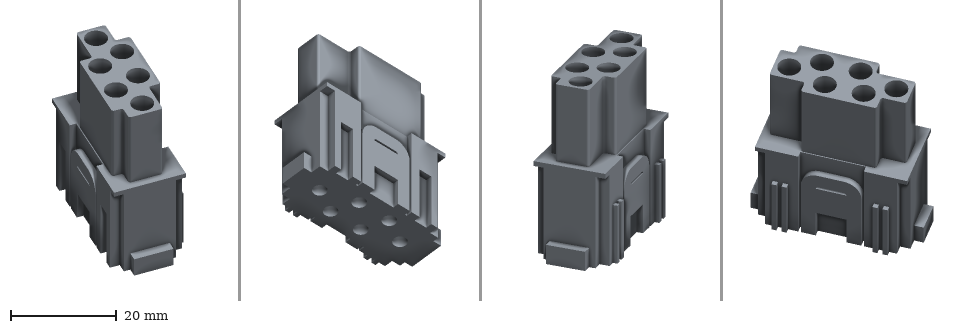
import cadquery as cq

total_length = 34.0
total_width = 15.7
total_height = 36.0

body_height = 19.98
block_height = total_height - body_height

tab_depth = 1.9
rib_depth = 0.97

body_length = total_length - 2 * tab_depth
body_width = total_width - rib_depth
corner_notch = 2.0
flange_thickness = 1.0

recess_length = 13.0
recess_depth = 1.35
latch_length = 12.0
latch_height = 16.02
latch_radius = 3.5
window_size = 6.05
slit_height = 0.5
slit_bottom = 12.5
slit_corner = 0.35

key_offset = 10.0
key_height = 12.02
slot_length = 3.0
slot_depth = 1.4
rib_length = 1.0
rib_spacing = 2.0

tab_height = 4.0
left_tab_width = 6.0
right_tab_width = 8.05

block_half_length = 13.5
block_half_width = 5.85
front_step_left_x = -5.5
front_step_right_x = 10.5
back_step_left_x = -8.5
back_step_right_x = 6.48
left_arm_front_y = -3.15
left_arm_back_y = 2.85
right_arm_front_y = -3.65
right_arm_back_y = 3.3
block_outline = [
    (-block_half_length, left_arm_front_y),
    (front_step_left_x, left_arm_front_y),
    (front_step_left_x, -block_half_width),
    (front_step_right_x, -block_half_width),
    (front_step_right_x, right_arm_front_y),
    (block_half_length, right_arm_front_y),
    (block_half_length, right_arm_back_y),
    (back_step_right_x, right_arm_back_y),
    (back_step_right_x, block_half_width),
    (back_step_left_x, block_half_width),
    (back_step_left_x, left_arm_back_y),
    (-block_half_length, left_arm_back_y),
]
block_edge_radius = 0.5
bore_centres = [
    (-10.5, -0.3),
    (-5.0, 2.75),
    (2.7, 2.75),
    (-2.65, -2.75),
    (5.0, -2.75),
    (10.5, 0.32),
]
bore_diameter = 3.0
counterbore_diameter = 4.55
counterbore_depth = block_height


def box_on_base(length, width, height, x=0, y=0):
    """Box centred at (x, y) with its underside at Z = 0."""
    return cq.Workplane("XY").box(length, width, height, centered=(True, True, False)).translate((x, y, 0))


def make_body():
    """Housing with notched corners below a full-size flange and a recess in each long face."""
    body = box_on_base(body_length, body_width, body_height)
    notch_height = body_height - flange_thickness
    for x_side in (-1, 1):
        for y_side in (-1, 1):
            x = x_side * (body_length - corner_notch) / 2
            y = y_side * (body_width - corner_notch) / 2
            body = body.cut(box_on_base(corner_notch, corner_notch, notch_height, x, y))
    for y_side in (-1, 1):
        y = y_side * (body_width - recess_depth) / 2
        body = body.cut(box_on_base(recess_length, recess_depth, body_height, 0, y))
    return body


def make_front_latch():
    """Latch flush with the front face: rounded top, open window below and a thin slit."""
    latch_y = -(body_width - recess_depth) / 2
    latch = box_on_base(latch_length, recess_depth, latch_height, 0, latch_y)
    latch = latch.edges("|Y and >Z").fillet(latch_radius)
    slit = box_on_base(window_size, recess_depth, slit_height, 0, latch_y)
    slit = slit.edges("|Y and >Z").chamfer(slit_corner).translate((0, 0, slit_bottom))
    window = box_on_base(window_size, recess_depth, window_size, 0, latch_y)
    return latch.cut(slit).cut(window)


def make_contact_block():
    """Stepped block rising from the top of the housing, with rounded vertical edges."""
    block = cq.Workplane("XY").workplane(offset=body_height).polyline(block_outline).close()
    return block.extrude(block_height).edges("|Z").fillet(block_edge_radius)


result = make_body()

slot_y = -(body_width - slot_depth) / 2
rib_y = (body_width + rib_depth) / 2
for key_x in (-key_offset, key_offset):
    result = result.cut(box_on_base(slot_length, slot_depth, key_height, key_x, slot_y))
    for rib_shift in (-rib_spacing / 2, rib_spacing / 2):
        result = result.union(box_on_base(rib_length, rib_depth, key_height, key_x + rib_shift, rib_y))

tab_x = (body_length + tab_depth) / 2
result = result.union(box_on_base(tab_depth, left_tab_width, tab_height, -tab_x))
result = result.union(box_on_base(tab_depth, right_tab_width, tab_height, tab_x))

front_latch = make_front_latch()
result = result.union(front_latch).union(front_latch.mirror("XZ"))

result = result.union(make_contact_block())
result = (
    result.faces(">Z")
    .workplane(origin=(0, 0, total_height))
    .pushPoints(bore_centres)
    .cboreHole(bore_diameter, counterbore_diameter, counterbore_depth)
)